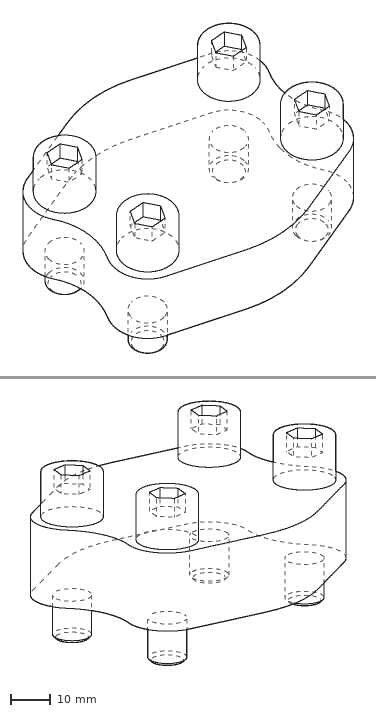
import cadquery as cq
import math

plate_length = 80.0
plate_width = 69.0
plate_height = 21.0
screw_pitch_x = 30.2
screw_pitch_y = 58.7
waist_radius = 20.0

head_diameter = 16.0
head_height = 12.55
head_edge_radius = 0.5
shank_diameter = 10.0
shank_length = 11.4
shank_chamfer = 0.8
socket_across_flats = 8.0
socket_depth = 5.0

screw_x = screw_pitch_x / 2
screw_y = screw_pitch_y / 2
side_radius = plate_width / 2
corner_radius = plate_length / 2 - screw_y


def plate_outline():
    """Side arcs, straight tangents, rounded corners and concave waists, all tangent."""
    corner_distance = math.hypot(screw_x, screw_y)
    corner_direction = math.atan2(screw_y, screw_x)
    normal = corner_direction - math.acos((side_radius - corner_radius) / corner_distance)
    nx, ny = math.cos(normal), math.sin(normal)
    side_end = (side_radius * nx, side_radius * ny)
    corner_start = (screw_x + corner_radius * nx, screw_y + corner_radius * ny)
    corner_top = (screw_x, plate_length / 2)

    centre_span = waist_radius + corner_radius
    waist_rise = math.sqrt(centre_span**2 - screw_x**2)
    share = corner_radius / centre_span
    corner_end = (screw_x * (1 - share), screw_y + waist_rise * share)
    waist_middle = (0, screw_y + waist_rise - waist_radius)

    def flip(point, sx, sy):
        return (sx * point[0], sy * point[1])

    outline = cq.Workplane("XY").moveTo(*flip(side_end, 1, -1))
    outline = outline.threePointArc((side_radius, 0), side_end)
    outline = outline.lineTo(*corner_start)
    outline = outline.threePointArc(corner_top, corner_end)
    outline = outline.threePointArc(waist_middle, flip(corner_end, -1, 1))
    outline = outline.threePointArc(flip(corner_top, -1, 1), flip(corner_start, -1, 1))
    outline = outline.lineTo(*flip(side_end, -1, 1))
    outline = outline.threePointArc((-side_radius, 0), flip(side_end, -1, -1))
    outline = outline.lineTo(*flip(corner_start, -1, -1))
    outline = outline.threePointArc(flip(corner_top, -1, -1), flip(corner_end, -1, -1))
    outline = outline.threePointArc(flip(waist_middle, 1, -1), flip(corner_end, 1, -1))
    outline = outline.threePointArc(flip(corner_top, 1, -1), flip(corner_start, 1, -1))
    return outline.close()


def screw():
    """Screw on the Z axis, with its head resting on the plate top."""
    head = cq.Workplane("XY").workplane(offset=plate_height).circle(head_diameter / 2).extrude(head_height)
    head = head.faces(">Z").edges().fillet(head_edge_radius)

    across_corners = socket_across_flats / math.cos(math.pi / 6)
    socket = (
        cq.Workplane("XY")
        .workplane(offset=plate_height + head_height)
        .transformed(rotate=(0, 0, 30))
        .polygon(6, across_corners)
        .extrude(-socket_depth)
    )

    shank = (
        cq.Workplane("XY")
        .workplane(offset=-shank_length)
        .circle(shank_diameter / 2)
        .extrude(shank_length + plate_height)
        .faces("<Z")
        .chamfer(shank_chamfer)
    )
    return head.union(shank).cut(socket)


result = plate_outline().extrude(plate_height)
for x in (-screw_x, screw_x):
    for y in (-screw_y, screw_y):
        result = result.union(screw().translate((x, y, 0)))